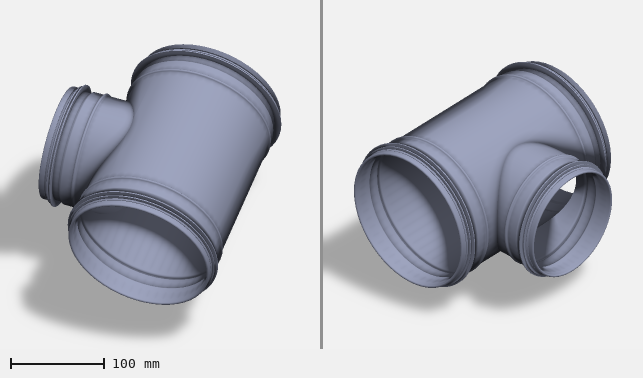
import cadquery as cq
import math

MAIN_LENGTH = 232.0
MAIN_DIAMETER = 159.0
BRANCH_DIAMETER = 124.0
BRANCH_REACH = 132.0
SHEET = 0.5

BEAD_SETBACK = 38.7
BEAD_HEIGHT = 2.0
BEAD_CROWN_RADIUS = 1.6
BEAD_FOOT_RADIUS = 2.0
SHOULDER_SETBACK = 21.5
SHOULDER_ANGLE = 40.0
SHOULDER_TOP_RADIUS = 1.9
SHOULDER_FOOT_RADIUS = 0.7
SEAT_DEPTH = 2.3
FOLD_SETBACK = 6.5

BODY_HEIGHT = 1.28
RIDGE_TIP_HEIGHT = 3.0
RIDGE_TIP_SETBACK = 9.0
RIDGE_FOOT_HEIGHT = 2.0
RIDGE_FOOT_SETBACK = 7.5
SMALL_LIP_HEIGHT = 5.0
SMALL_LIP_SETBACK = 10.2
LARGE_LIP_HEIGHT = 7.55
LARGE_LIP_SETBACK = 14.0
LIP_THICKNESS = 1.2


def socket_path(skin_radius, length):
    """Start radius and moves of the sheet's middle line, from mid-pipe out to the folded edge.

    A move is (distance,) for a straight or (radius, angle) for a bend, positive turning outward.
    """
    half_sheet = SHEET / 2
    crown = BEAD_CROWN_RADIUS - half_sheet
    foot = BEAD_FOOT_RADIUS + half_sheet
    bead_angle = math.degrees(math.acos(1 - BEAD_HEIGHT / (crown + foot)))
    bead_half_width = (crown + foot) * math.sin(math.radians(bead_angle))

    shoulder_top = SHOULDER_TOP_RADIUS - half_sheet
    shoulder_foot = SHOULDER_FOOT_RADIUS + half_sheet
    slope = math.radians(SHOULDER_ANGLE)
    bend_drop = (shoulder_top + shoulder_foot) * (1 - math.cos(slope))
    cone = (SEAT_DEPTH - bend_drop) / math.sin(slope)
    shoulder_width = (shoulder_top + shoulder_foot) * math.sin(slope) + cone * math.cos(slope)

    roll = SEAT_DEPTH / 2
    roll_setback = roll + half_sheet
    moves = [
        (length - BEAD_SETBACK - bead_half_width,),
        (foot, bead_angle),
        (crown, -2 * bead_angle),
        (foot, bead_angle),
        (BEAD_SETBACK - bead_half_width - SHOULDER_SETBACK - shoulder_width,),
        (shoulder_top, -SHOULDER_ANGLE),
        (cone,),
        (shoulder_foot, SHOULDER_ANGLE),
        (SHOULDER_SETBACK - roll_setback,),
        (roll, 180.0),
        (FOLD_SETBACK - roll_setback,),
    ]
    return skin_radius - half_sheet, moves


def offset_edges(start_radius, moves, offset):
    """Edges (radius along X, axis along Y) running parallel to the path, `offset` outward of it."""

    def step(point, heading, ahead, outward):
        turn = math.radians(heading)
        return cq.Vector(
            point.x + ahead * math.sin(turn) + outward * math.cos(turn),
            point.y + ahead * math.cos(turn) - outward * math.sin(turn),
        )

    point = cq.Vector(start_radius + offset, 0)
    heading = 0.0
    edges = []
    for move in moves:
        if len(move) == 1:
            end = step(point, heading, move[0], 0)
            edges.append(cq.Edge.makeLine(point, end))
        else:
            radius, angle = move
            side = math.copysign(1, angle)
            reach = side * radius - offset
            centre = step(point, heading, 0, reach)
            middle = step(centre, heading + angle / 2, 0, -reach)
            heading += angle
            end = step(centre, heading, 0, -reach)
            edges.append(cq.Edge.makeThreePointArc(point, middle, end))
        point = end
    return edges


def sheet_pipe(skin_radius, length):
    """Thin pipe along +Y from the origin, with a bead, a gasket seat and a rolled mouth."""
    start_radius, moves = socket_path(skin_radius, length)
    outer = offset_edges(start_radius, moves, SHEET / 2)
    inner = offset_edges(start_radius, moves, -SHEET / 2)
    caps = [
        cq.Edge.makeLine(outer[0].startPoint(), inner[0].startPoint()),
        cq.Edge.makeLine(outer[-1].endPoint(), inner[-1].endPoint()),
    ]
    wire = cq.Wire.assembleEdges([*outer, caps[1], *reversed(inner), caps[0]])
    face = cq.Face.makeFromWires(wire)
    return cq.Workplane(cq.Solid.revolve(face, 360, cq.Vector(0, 0), cq.Vector(0, 1)))


def gasket(skin_radius, mouth):
    """Lip seal on the seat of a pipe along +Y whose mouth is at Y = `mouth`."""
    seat = skin_radius - SEAT_DEPTH
    tongue = skin_radius - SHEET
    roll_setback = (SEAT_DEPTH + SHEET) / 2
    body = seat + BODY_HEIGHT
    small_lip = seat + SMALL_LIP_HEIGHT
    large_lip = seat + LARGE_LIP_HEIGHT
    heel_setback = LARGE_LIP_SETBACK + LIP_THICKNESS
    section = [
        (seat, roll_setback),
        (tongue, roll_setback),
        (tongue, FOLD_SETBACK),
        (body, FOLD_SETBACK),
        (body, RIDGE_FOOT_SETBACK),
        (seat + RIDGE_FOOT_HEIGHT, RIDGE_FOOT_SETBACK),
        (seat + RIDGE_TIP_HEIGHT, RIDGE_TIP_SETBACK),
        (body, RIDGE_TIP_SETBACK),
        (body, SMALL_LIP_SETBACK),
        (small_lip, SMALL_LIP_SETBACK),
        (small_lip, SMALL_LIP_SETBACK + LIP_THICKNESS),
        (body, SMALL_LIP_SETBACK + LIP_THICKNESS),
        (body, LARGE_LIP_SETBACK),
        (large_lip, LARGE_LIP_SETBACK),
        (large_lip, heel_setback),
        (seat, heel_setback),
    ]
    points = [(radius, mouth - setback) for radius, setback in section]
    return cq.Workplane("XY").polyline(points).close().revolve(360, (0, 0), (0, 1))


def rod(radius, length):
    """Solid cylinder along +Y from the origin."""
    return cq.Workplane("XZ").circle(radius).extrude(-length)


def toward_branch(body):
    """Turn a body from the +Y axis onto the -X axis."""
    return body.rotate((0, 0, 0), (0, 0, 1), 90)


main_radius = MAIN_DIAMETER / 2
branch_radius = BRANCH_DIAMETER / 2
half_length = MAIN_LENGTH / 2

half_pipe = sheet_pipe(main_radius, half_length)
opening = toward_branch(rod(branch_radius - SHEET, BRANCH_REACH))
other_half = half_pipe.rotate((0, 0, 0), (1, 0, 0), 180)
main_pipe = half_pipe.union(other_half).cut(opening)

main_core = rod(main_radius, MAIN_LENGTH).translate((0, -half_length, 0))
branch_pipe = toward_branch(sheet_pipe(branch_radius, BRANCH_REACH))
branch_pipe = branch_pipe.cut(main_core)

gaskets = [toward_branch(gasket(branch_radius, BRANCH_REACH))]
for turn in (0, 180):
    gaskets.append(gasket(main_radius, half_length).rotate((0, 0, 0), (0, 0, 1), turn))

result = cq.Compound.makeCompound(
    [main_pipe.val(), branch_pipe.val(), *[ring.val() for ring in gaskets]]
)